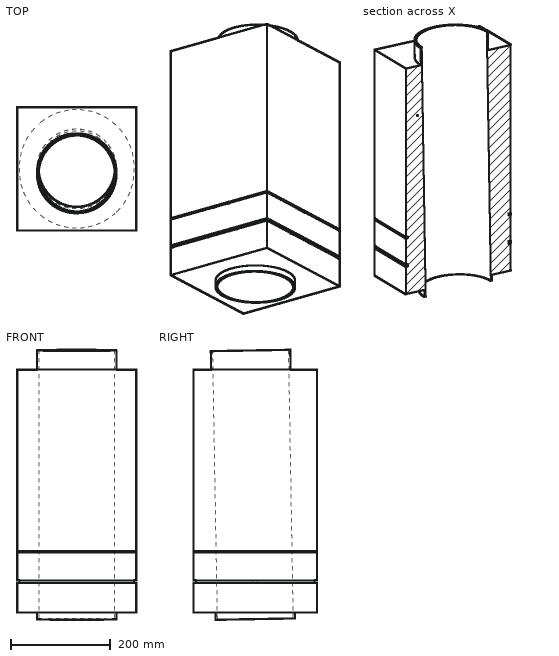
import cadquery as cq
import math

casing_width = 240.0
casing_depth = 248.0
casing_bottom = 14.5
casing_top = 502.5

gap_inset = 5.0
gap_ranges = [(74.5, 79.0), (135.5, 138.5)]

overall_height = 542.5
tube_diameter = 160.0
tube_wall = 4.0
tube_tilt = 1.0

tilt = math.radians(tube_tilt)
tube_radius = tube_diameter / 2
tube_length = (overall_height - tube_diameter * math.sin(tilt)) / math.cos(tilt)
tube_base_height = tube_radius * math.sin(tilt)


def casing():
    height = casing_top - casing_bottom
    return (
        cq.Workplane("XY", origin=(0, 0, casing_bottom))
        .rect(casing_width, casing_depth)
        .extrude(height)
    )


def gap_cutter(bottom, top):
    """Rectangular slab with an obround opening that leaves the core standing."""
    core_length = casing_depth - 2 * gap_inset
    core_width = casing_width - 2 * gap_inset
    return (
        cq.Workplane("XY", origin=(0, 0, bottom))
        .rect(casing_width, casing_depth)
        .slot2D(core_length, core_width, angle=90)
        .extrude(top - bottom)
    )


def tilted_cylinder(radius):
    return (
        cq.Workplane("XY")
        .circle(radius)
        .extrude(tube_length)
        .rotate((0, 0, 0), (1, 0, 0), tube_tilt)
        .translate((0, 0, tube_base_height))
    )


body = casing()
for gap_bottom, gap_top in gap_ranges:
    body = body.cut(gap_cutter(gap_bottom, gap_top))

result = body.union(tilted_cylinder(tube_radius)).cut(tilted_cylinder(tube_radius - tube_wall))